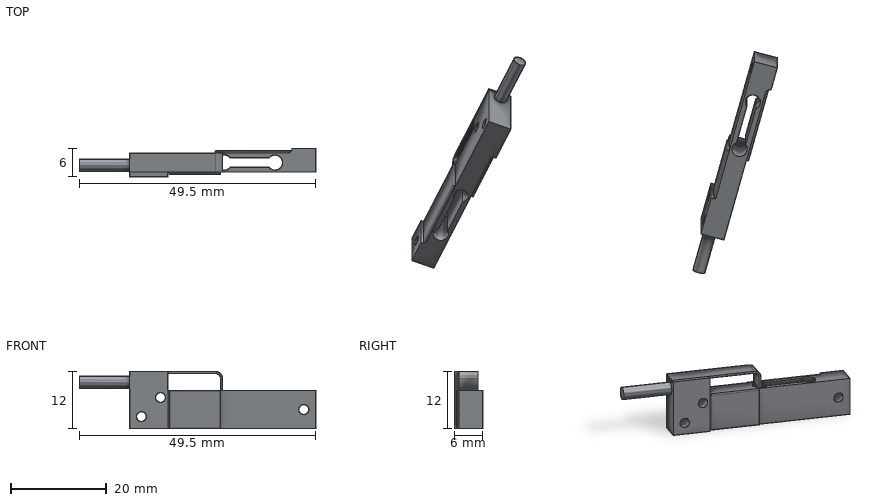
import cadquery as cq

total_length = 49.5
housing_left = 10.5
housing_length = 8.0
housing_right = housing_left + housing_length
housing_height = 12.0
beam_height = 8.0
foot_thickness = 1.0
beam_front = foot_thickness
beam_back = 5.0
overall_depth = beam_back + foot_thickness

front_pad_fillet = 0.5
back_pad_fillet = foot_thickness
back_pad_left = 44.5

mount_hole_diameter = 2.05
mount_hole_centers = [(12.95, 2.5), (17.0, 6.55), (47.0, beam_height / 2)]

dogbone_diameter = 3.1
dogbone_slot_width = 1.95
dogbone_left = 30.35
dogbone_right = 40.95
dogbone_y = (beam_front + beam_back) / 2

cover_thickness = 0.45
cover_right = 30.0
cover_bend_radius = 1.5

cable_diameter = 2.6
cable_y = 2.45
cable_z = 9.7

gauge_cover_thickness = 0.5
front_gauge_left = 18.8
front_gauge_right = 29.55
front_gauge_edge = 0.2
back_gauge_left = 28.35
back_gauge_edge = 0.3


def box(x0, x1, y0, y1, z0, z1):
    """Box spanning the given X, Y and Z limits."""
    return cq.Workplane("XY").box(x1 - x0, y1 - y0, z1 - z0, centered=False).translate((x0, y0, z0))


def make_bar():
    """Stepped bar with a pad at each end; the steps meet the faces in concave fillets."""
    bar = (
        cq.Workplane("XY")
        .moveTo(housing_left, 0)
        .lineTo(housing_right, 0)
        .lineTo(housing_right, beam_front - front_pad_fillet)
        .radiusArc((housing_right + front_pad_fillet, beam_front), front_pad_fillet)
        .lineTo(total_length, beam_front)
        .lineTo(total_length, overall_depth)
        .lineTo(back_pad_left, overall_depth)
        .radiusArc((back_pad_left - back_pad_fillet, beam_back), back_pad_fillet)
        .lineTo(housing_left, beam_back)
        .close()
        .extrude(beam_height)
    )
    return bar


def make_dogbone():
    """Two round bores joined by a straight slot."""
    bores = (
        cq.Workplane("XY")
        .pushPoints([(dogbone_left, dogbone_y), (dogbone_right, dogbone_y)])
        .circle(dogbone_diameter / 2)
        .extrude(beam_height)
    )
    half_slot = dogbone_slot_width / 2
    slot = box(dogbone_left, dogbone_right, dogbone_y - half_slot, dogbone_y + half_slot, 0, beam_height)
    return bores.union(slot)


def make_beam():
    """Beam in one piece with its tall mounting block, which is recessed for the cover."""
    block = box(housing_left, housing_right, 0, beam_back, 0, housing_height)
    cover_recess = box(
        housing_left, housing_right, beam_front, beam_back, housing_height - cover_thickness, housing_height
    )
    mount_holes = (
        cq.Workplane("XZ")
        .pushPoints(mount_hole_centers)
        .circle(mount_hole_diameter / 2)
        .extrude(-overall_depth)
    )
    return make_bar().union(block).cut(cover_recess).cut(make_dogbone()).cut(mount_holes)


def make_cover():
    """Strap lying on the block, bent down at its right end onto the beam."""
    outer = box(housing_left, cover_right, beam_front, beam_back, beam_height, housing_height)
    outer = outer.edges("|Y and >X and >Z").fillet(cover_bend_radius)
    inner = box(
        housing_left,
        cover_right - cover_thickness,
        beam_front,
        beam_back,
        beam_height,
        housing_height - cover_thickness,
    )
    inner = inner.edges("|Y and >X and >Z").fillet(cover_bend_radius - cover_thickness)
    return outer.cut(inner)


def make_cable():
    """Round cable ending at the left face of the block."""
    return (
        cq.Workplane("YZ")
        .center(cable_y, cable_z)
        .circle(cable_diameter / 2)
        .extrude(housing_left)
    )


def make_front_gauge_cover(beam):
    """Thin plate on the front face, rounded around its outer face and fitted to the pad fillet."""
    plate = box(
        front_gauge_left, front_gauge_right, beam_front - gauge_cover_thickness, beam_front, 0, beam_height
    )
    return plate.faces("<Y").edges().fillet(front_gauge_edge).cut(beam)


def make_back_gauge_cover(beam):
    """Thin plate on the back face, rounded around its outer face and fitted to the pad fillet."""
    plate = box(
        back_gauge_left, back_pad_left, beam_back, beam_back + gauge_cover_thickness, 0, beam_height
    )
    rounded = plate.faces(">Y").edges("|Z and <X or |X").fillet(back_gauge_edge)
    return rounded.cut(beam)


beam = make_beam()
cover = make_cover()
cable = make_cable()
front_gauge_cover = make_front_gauge_cover(beam)
back_gauge_cover = make_back_gauge_cover(beam)

bodies = [beam, cover, cable, front_gauge_cover, back_gauge_cover]
result = cq.Compound.makeCompound([body.solids().val() for body in bodies])